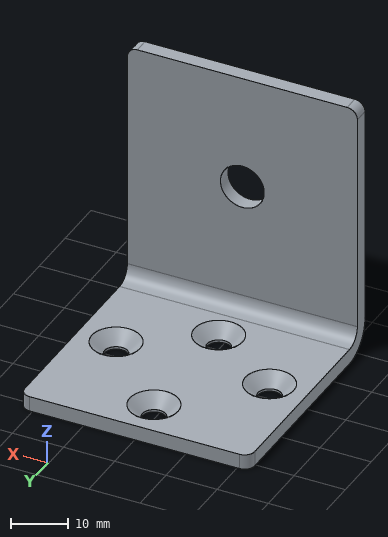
import cadquery as cq

width = 45.0
depth = 44.7
height = 51.0
thickness = 3.0

inner_bend_radius = 3.0
outer_bend_radius = inner_bend_radius + thickness
corner_radius = 2.0

upright_hole_diameter = 8.5
upright_hole_height = 28.5

screw_hole_diameter = 4.5
countersink_diameter = 9.45
countersink_angle = 90.0
side_screw_offset = 15.0
side_screw_y = 22.15
front_screw_y = 12.15
rear_screw_y = 37.2
screw_positions = [
    (0, front_screw_y),
    (0, rear_screw_y),
    (-side_screw_offset, side_screw_y),
    (side_screw_offset, side_screw_y),
]


def bent_plate():
    """L-shaped plate: upright outer face on y = 0, base underside on z = 0, centred on x = 0."""
    plate = (
        cq.Workplane("YZ")
        .moveTo(0, height)
        .lineTo(0, outer_bend_radius)
        .radiusArc((outer_bend_radius, 0), -outer_bend_radius)
        .lineTo(depth, 0)
        .lineTo(depth, thickness)
        .lineTo(outer_bend_radius, thickness)
        .radiusArc((thickness, outer_bend_radius), inner_bend_radius)
        .lineTo(thickness, height)
        .close()
        .extrude(width / 2, both=True)
    )
    plate = plate.faces(">Z").edges("|Y").fillet(corner_radius)
    return plate.faces(">Y").edges("|Z").fillet(corner_radius)


def drill_upright(plate):
    hole = (
        cq.Workplane("XZ")
        .center(0, upright_hole_height)
        .circle(upright_hole_diameter / 2)
        .extrude(-thickness)
    )
    return plate.cut(hole)


def drill_base(plate):
    """Screw holes countersunk from the inner face of the base."""
    return (
        plate.copyWorkplane(cq.Workplane("XY", origin=(0, 0, thickness)))
        .pushPoints(screw_positions)
        .cskHole(screw_hole_diameter, countersink_diameter, countersink_angle, depth=thickness)
    )


result = drill_base(drill_upright(bent_plate()))